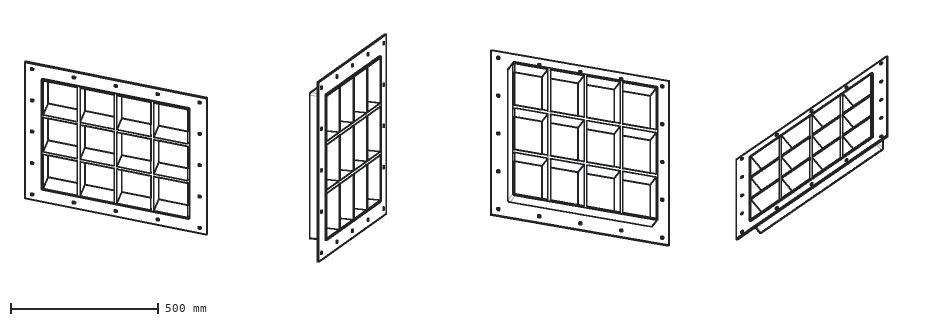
import cadquery as cq

flange_width = 644.0
flange_height = 634.5
flange_thickness = 6.0

flange_margin = 59.0
frame_width = flange_width - 2 * flange_margin
frame_height = flange_height - 2 * flange_margin
frame_depth = 60.0
frame_front_step = 3.0
frame_corner_radius = 7.0

columns = 4
rows = 3
frame_wall = 6.5
upright_bar_thickness = 10.0
level_bar_thickness = 12.0
opening_width = (frame_width - 2 * frame_wall - (columns - 1) * upright_bar_thickness) / columns
opening_height = (frame_height - 2 * frame_wall - (rows - 1) * level_bar_thickness) / rows

hole_diameter = 10.0
hole_edge_distance = 25.0
holes_per_side = 5
hole_pitch_x = (flange_width - 2 * hole_edge_distance) / (holes_per_side - 1)
hole_pitch_z = (flange_height - 2 * hole_edge_distance) / (holes_per_side - 1)


def upright_plane(y):
    """XZ plane at the given Y, with its normal pointing toward +Y and local y along -Z."""
    return cq.Workplane(cq.Plane(origin=(0, y, 0), xDir=(1, 0, 0), normal=(0, 1, 0)))


def border_hole_points():
    """Evenly spaced hole centres on all four sides, with the corners shared."""
    last = holes_per_side - 1
    points = []
    for i in range(holes_per_side):
        for j in range(holes_per_side):
            if i in (0, last) or j in (0, last):
                x = (i - last / 2) * hole_pitch_x
                z = (j - last / 2) * hole_pitch_z
                points.append((x, z))
    return points


def make_flange():
    plate = upright_plane(frame_front_step).rect(flange_width, flange_height).extrude(flange_thickness)
    holes = (
        upright_plane(frame_front_step)
        .pushPoints(border_hole_points())
        .circle(hole_diameter / 2)
        .extrude(flange_thickness)
    )
    return plate.cut(holes)


def make_frame():
    block = upright_plane(0).rect(frame_width, frame_height).extrude(frame_depth)
    return block.edges("|Y").fillet(frame_corner_radius)


def make_openings():
    return (
        upright_plane(0)
        .rarray(opening_width + upright_bar_thickness, opening_height + level_bar_thickness, columns, rows)
        .rect(opening_width, opening_height)
        .extrude(frame_depth)
    )


result = make_flange().union(make_frame()).cut(make_openings())